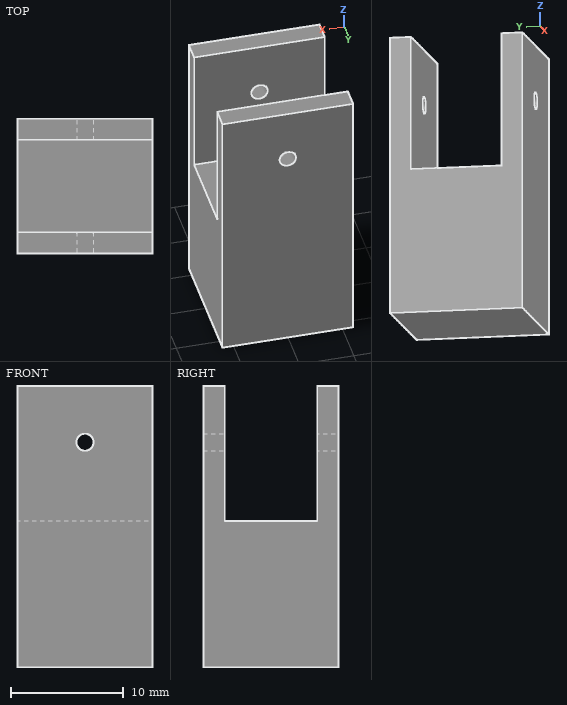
import cadquery as cq

side = 12.0
height = 25.0

slot_width = 8.2
slot_depth = 12.0

pin_diameter = 1.5
pin_below_top = 5.0


def make_block():
    return cq.Workplane("XY").box(side, side, height, centered=(True, True, False))


def make_slot():
    return (
        cq.Workplane("XY")
        .workplane(offset=height - slot_depth)
        .box(side, slot_width, slot_depth, centered=(True, True, False))
    )


def make_pin_hole():
    return (
        cq.Workplane("XZ")
        .center(0, height - pin_below_top)
        .circle(pin_diameter / 2)
        .extrude(side / 2, both=True)
    )


result = make_block().cut(make_slot()).cut(make_pin_hole())